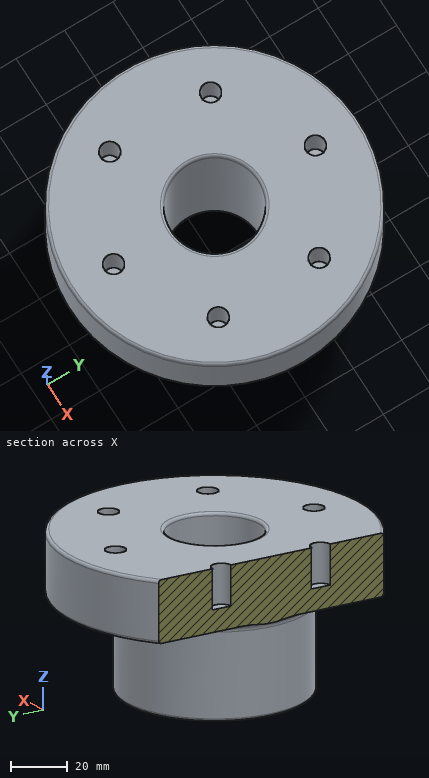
import cadquery as cq
import math

flange_diameter = 119.05
total_height = 59.52
edge_round = 1.19
hole_count = 6
hole_diameter = 7.6
first_hole_angle = 90.0

flange_thickness = 0.4 * total_height
hub_diameter = 0.6 * flange_diameter
bore_diameter = 0.3 * flange_diameter
hole_circle_diameter = 0.7 * flange_diameter
root_fillet = 2 * edge_round
hole_depth = 2 * hole_diameter

flange_radius = flange_diameter / 2
hub_radius = hub_diameter / 2
bore_radius = bore_diameter / 2
underside_z = total_height - flange_thickness


def arc_point(center_x, center_z, radius, angle):
    """Point on an arc in the profile plane, with the angle in degrees from +X."""
    direction = math.radians(angle)
    return (center_x + radius * math.cos(direction), center_z + radius * math.sin(direction))


def turned_body():
    """Half section of hub, flange and bore, revolved about Z."""
    hub_round_x = hub_radius - edge_round
    rim_round_x = flange_radius - edge_round
    bore_round_x = bore_radius + edge_round
    root_x = hub_radius + root_fillet
    root_z = underside_z - root_fillet
    rim_bottom_z = underside_z + edge_round
    rim_top_z = total_height - edge_round

    section = (
        cq.Workplane("XZ")
        .moveTo(bore_radius, 0)
        .lineTo(hub_round_x, 0)
        .threePointArc(arc_point(hub_round_x, edge_round, edge_round, -45), (hub_radius, edge_round))
        .lineTo(hub_radius, root_z)
        .threePointArc(arc_point(root_x, root_z, root_fillet, 135), (root_x, underside_z))
        .lineTo(rim_round_x, underside_z)
        .threePointArc(arc_point(rim_round_x, rim_bottom_z, edge_round, -45), (flange_radius, rim_bottom_z))
        .lineTo(flange_radius, rim_top_z)
        .threePointArc(arc_point(rim_round_x, rim_top_z, edge_round, 45), (rim_round_x, total_height))
        .lineTo(bore_round_x, total_height)
        .threePointArc(arc_point(bore_round_x, rim_top_z, edge_round, 135), (bore_radius, rim_top_z))
        .close()
    )
    return section.revolve(360, (0, 0, 0), (0, 1, 0))


def flange_holes():
    """Ring of blind, flat-bottomed holes sunk from the top face."""
    return (
        cq.Workplane("XY")
        .workplane(offset=total_height - hole_depth)
        .polarArray(hole_circle_diameter / 2, first_hole_angle, 360, hole_count)
        .circle(hole_diameter / 2)
        .extrude(hole_depth)
    )


result = turned_body().cut(flange_holes())